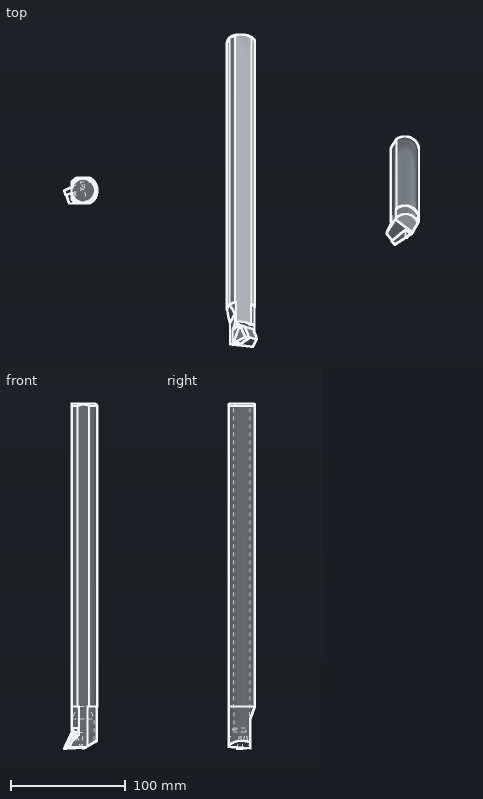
import cadquery as cq
import math

LENGTH = 301.2
SHANK_RADIUS = 12.5
NECK_RADIUS = 12.0
SIDE_FLAT = 11.5
LEFT_FLAT = 10.1
NECK_TOP = 36.7
END_CHAMFER = 2.0

HEAD_BACK = 7.5
RAMP_BOTTOM = 26.0
NOSE_HEIGHT = 15.7
HEAD_BOTTOM = 0.45
HEAD_BOTTOM_FRONT = 1.5
BEVEL_HEIGHT = 7.0
BEVEL_ANGLE = 30.0

TIP_X = -16.72
TIP_Y = 0.0
INSERT_SIDE = 16.5
INSERT_THICKNESS = 4.2
LEAD_ANGLE = 3.0
CORNER_ANGLE = 60.0
RAKE_TILT = 25.0
SEAT_TILT = 18.0

RELIEF_DIAMETER = 4.0
RELIEF_HEIGHT = 16.3
RELIEF_SHIFT = 1.0
CHIP_WALL_DROP = 2.0

FLANK_CHAMFER_POINTS = [
    cq.Vector(-4.2, -SIDE_FLAT, 11.7),
    cq.Vector(-10.8, -SIDE_FLAT, 5.0),
    cq.Vector(-7.5, -8.0, 14.0),
]

REACH = 36.0
CUT_MARGIN = 3.0


def along(length, angle):
    """Point at a distance and an angle in degrees from the origin."""
    return (length * math.cos(math.radians(angle)), length * math.sin(math.radians(angle)))


def tip_plane(tilt_angle):
    """Upright plane through the tip: local y up, normal into the insert."""
    tilt = math.radians(tilt_angle)
    return cq.Workplane(cq.Plane(
        origin=(TIP_X, TIP_Y, 0),
        xDir=(math.cos(tilt), math.sin(tilt), 0),
        normal=(math.sin(tilt), -math.cos(tilt), 0),
    ))


FLANK_ANGLE = LEAD_ANGLE + CORNER_ANGLE
UPPER_CORNER = along(INSERT_SIDE, FLANK_ANGLE)
INNER_CORNER = along(INSERT_SIDE, LEAD_ANGLE)


def flatted_bar(radius, bottom, top):
    """Round bar with flats at the front, the back and the left."""
    bar = cq.Workplane().workplane(offset=bottom).circle(radius).extrude(top - bottom)
    if top == LENGTH:
        bar = bar.faces(">Z").chamfer(END_CHAMFER)
    envelope = cq.Workplane().box(
        LEFT_FLAT + SHANK_RADIUS, 2 * SIDE_FLAT, LENGTH, centered=(False, True, False)
    ).translate((-LEFT_FLAT, 0, 0))
    return bar.intersect(envelope)


def nose_block():
    """Block on the left of the neck, later trimmed to the insert flank."""
    return cq.Workplane().box(
        REACH, SIDE_FLAT + HEAD_BACK, NOSE_HEIGHT, centered=False
    ).translate((-REACH, -SIDE_FLAT, 0))


def back_ramp():
    """Space behind the head, ramping out to the shank."""
    return (
        cq.Workplane("YZ")
        .polyline([
            (HEAD_BACK, 0), (REACH, 0), (REACH, NECK_TOP),
            (SIDE_FLAT, NECK_TOP), (HEAD_BACK, RAMP_BOTTOM),
        ])
        .close().extrude(REACH, both=True)
    )


def underside():
    """Space below the head, rising toward the front."""
    return (
        cq.Workplane("YZ")
        .polyline([
            (HEAD_BACK, HEAD_BOTTOM), (-SIDE_FLAT, HEAD_BOTTOM_FRONT),
            (-SIDE_FLAT, -REACH), (HEAD_BACK, -REACH),
        ])
        .close().extrude(REACH, both=True)
    )


def underside_bevel():
    """Space below the sloping lower right of the head."""
    run = BEVEL_HEIGHT / math.tan(math.radians(BEVEL_ANGLE))
    return (
        cq.Workplane("XZ")
        .polyline([(NECK_RADIUS - run, 0), (NECK_RADIUS, BEVEL_HEIGHT), (NECK_RADIUS, 0)])
        .close().extrude(REACH, both=True)
    )


def flank_clearance():
    """Space to the left of the flank, up to the relief groove."""
    top = RELIEF_HEIGHT
    below = -CUT_MARGIN
    slope = math.tan(math.radians(FLANK_ANGLE))
    return (
        tip_plane(SEAT_TILT)
        .polyline([(below / slope, below), (top / slope, top), (-REACH, top), (-REACH, below)])
        .close().extrude(REACH, both=True)
    )


def chip_pocket():
    """Space over the rake face, below a sloping upper wall."""
    return (
        tip_plane(RAKE_TILT)
        .polyline([
            (-REACH, -CUT_MARGIN), (REACH, -CUT_MARGIN), (REACH, RELIEF_HEIGHT - CHIP_WALL_DROP),
            (INNER_CORNER[0], RELIEF_HEIGHT - CHIP_WALL_DROP),
            (UPPER_CORNER[0], RELIEF_HEIGHT), (-REACH, RELIEF_HEIGHT),
        ])
        .close().extrude(-REACH)
    )


def corner_relief():
    """Round groove beside the upper corner of the insert."""
    return (
        tip_plane(SEAT_TILT).center(UPPER_CORNER[0] - RELIEF_SHIFT, RELIEF_HEIGHT)
        .circle(RELIEF_DIAMETER / 2).extrude(REACH, both=True)
    )


def flank_chamfer():
    """Space beyond the chamfer between the flank and the front flat."""
    first, second, third = FLANK_CHAMFER_POINTS
    edge = second - first
    normal = edge.cross(third - first)
    if normal.x > 0:
        normal = normal * -1
    middle = (first + second) * 0.5
    return cq.Workplane(cq.Plane(middle, edge, normal)).rect(REACH, REACH).extrude(REACH / 2)


def make_insert():
    """Triangular prism on the seat, its back sloped off by the rake face."""
    outline = [(0, 0), INNER_CORNER, UPPER_CORNER]
    body = tip_plane(SEAT_TILT).polyline(outline).close().extrude(INSERT_THICKNESS)
    raised = tip_plane(SEAT_TILT).polyline(outline).close().extrude(-REACH)
    chip_space = tip_plane(RAKE_TILT).rect(2 * REACH, 2 * REACH).extrude(-REACH)
    return body.union(raised.cut(chip_space)).solids()


def make_holder(insert):
    """Boring bar with a seat for the insert."""
    nose = nose_block().cut(flank_chamfer())
    head = flatted_bar(NECK_RADIUS, 0, NECK_TOP).union(nose)
    for cutter in (
        back_ramp(), underside(), underside_bevel(), flank_clearance(),
        chip_pocket(), corner_relief(), insert,
    ):
        head = head.cut(cutter)
    return flatted_bar(SHANK_RADIUS, NECK_TOP, LENGTH).union(head).solids()


insert = make_insert()
holder = make_holder(insert)
result = cq.Compound.makeCompound([holder.val(), insert.val()])